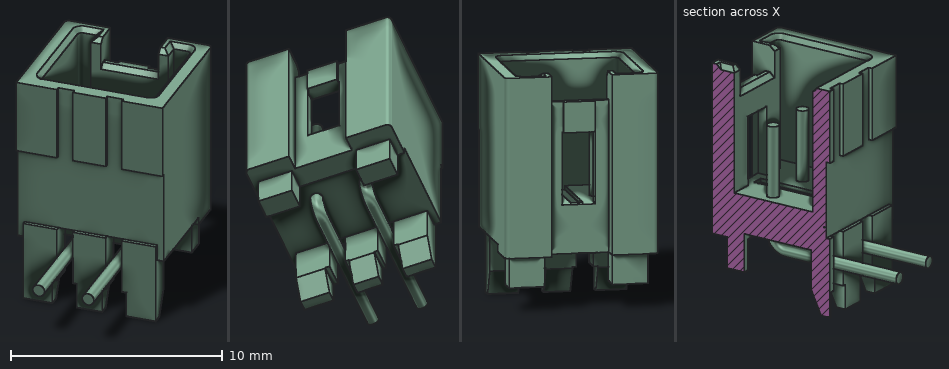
import cadquery as cq
import math

TOP = 11.5
BODY_WIDTH = 7.4
BODY_DEPTH = 6.7
OVERALL_DEPTH = 10.2
BODY_BOTTOM = 3.2
FRONT_STEP = 0.2
REAR_CORNER_RADIUS = 0.23

REAR_LEDGE_BOTTOM = 2.83
REAR_LEDGE_FRONT = 4.86
POST_BOTTOM = 1.25
POST_REAR = 5.86

CENTRE_HALF_WIDTH = 0.83
SIDE_INNER = 1.63
PAD_BOTTOM = 7.84
LEG_OUTER = 3.35
LEG_TOP = 4.0
LEG_THICKNESS = 1.08
LEG_TIP_THICKNESS = 0.52
LEG_TAPER_TOP = 1.21
LEG_NARROW_TOP = 1.26
SIDE_LEG_STEP = 0.23
CENTRE_LEG_STEP = 0.18

CAVITY_WIDTH = 5.68
CAVITY_FRONT = 0.99
CAVITY_REAR = 6.19
CAVITY_FLOOR = 5.18
CAVITY_RADIUS = 0.23
MOUTH_CHAMFER = 0.24
GROOVE_WIDTH = 0.59
GROOVE_DEPTH = 0.2

LATCH_WIDTH = 3.91
LATCH_FRONT = 5.43
LATCH_REAR = 5.93
LATCH_CHAMFER_WIDTH = 0.28
NOTCH_WIDTH = 2.9
LIP_TOP = 10.15
BUMP_WIDTH = 1.51
BUMP_DEPTH = 0.17
WINDOW_WIDTH = 1.6
WINDOW_TOP = 8.67

PIN_PITCH = 2.5
PIN_DIAMETER = 0.6
PIN_TOP = 8.77
PIN_Y = 3.7
PIN_AXIS_Z = 2.54
PIN_BEND_RADIUS = 0.82
PIN_END = BODY_DEPTH - OVERALL_DEPTH


def block(x_min, x_max, y_min, y_max, z_min, z_max):
    """Box given by its limits along each axis."""
    size = (x_max - x_min, y_max - y_min, z_max - z_min)
    return cq.Workplane("XY").box(*size, centered=False).translate((x_min, y_min, z_min))


def centred_block(width, y_min, y_max, z_min, z_max):
    """Box centred on X = 0."""
    return block(-width / 2, width / 2, y_min, y_max, z_min, z_max)


def side_blocks(x_inner, x_outer, y_min, y_max, z_min, z_max):
    """Two boxes mirrored about X = 0."""
    right = block(x_inner, x_outer, y_min, y_max, z_min, z_max)
    return right.union(right.mirror("YZ"))


def make_shell():
    """Solid housing with its front pads and the rear ledge with posts."""
    shell = centred_block(BODY_WIDTH, FRONT_STEP, BODY_DEPTH, REAR_LEDGE_BOTTOM, TOP)
    shell = shell.edges("|Z and >Y").fillet(REAR_CORNER_RADIUS)
    under_cut = centred_block(BODY_WIDTH, 0, REAR_LEDGE_FRONT, REAR_LEDGE_BOTTOM, BODY_BOTTOM)
    centre_pad = centred_block(2 * CENTRE_HALF_WIDTH, 0, FRONT_STEP, PAD_BOTTOM, TOP)
    side_pads = side_blocks(SIDE_INNER, BODY_WIDTH / 2, 0, FRONT_STEP, PAD_BOTTOM, TOP)
    posts = side_blocks(
        SIDE_INNER, LEG_OUTER, REAR_LEDGE_FRONT, POST_REAR, POST_BOTTOM, REAR_LEDGE_BOTTOM
    )
    return shell.cut(under_cut).union(centre_pad).union(side_pads).union(posts)


def make_legs():
    """Tapered front legs, joined above their narrowed tips until the pin gaps are cut."""
    profile = [
        (0, 0),
        (LEG_TIP_THICKNESS, 0),
        (LEG_THICKNESS, LEG_TAPER_TOP),
        (LEG_THICKNESS, LEG_TOP),
        (0, LEG_TOP),
    ]
    legs = cq.Workplane("YZ").polyline(profile).close().extrude(LEG_OUTER, both=True)
    tip_gaps = side_blocks(
        CENTRE_HALF_WIDTH - CENTRE_LEG_STEP, SIDE_INNER + SIDE_LEG_STEP,
        0, LEG_THICKNESS, 0, LEG_NARROW_TOP,
    )
    return legs.cut(tip_gaps)


def rounded_rectangle(width, length, radius):
    """Sketch of a centred rectangle with rounded corners."""
    return cq.Sketch().rect(width, length).vertices().fillet(radius)


def make_cavity():
    """Cavity with a flared mouth."""
    length = CAVITY_REAR - CAVITY_FRONT
    middle = (CAVITY_FRONT + CAVITY_REAR) / 2
    flare = 2 * MOUTH_CHAMFER
    inner = rounded_rectangle(CAVITY_WIDTH, length, CAVITY_RADIUS)
    outer = rounded_rectangle(CAVITY_WIDTH + flare, length + flare, CAVITY_RADIUS + MOUTH_CHAMFER)
    outer = outer.moved(cq.Location(cq.Vector(0, 0, MOUTH_CHAMFER)))
    chamfer_start = TOP - MOUTH_CHAMFER
    pocket = (
        cq.Workplane("XY", origin=(0, middle, CAVITY_FLOOR))
        .placeSketch(inner).extrude(chamfer_start - CAVITY_FLOOR)
    )
    mouth = (
        cq.Workplane("XY", origin=(0, middle, chamfer_start))
        .placeSketch(inner, outer).loft()
    )
    return pocket.union(mouth)


def make_latch_wall():
    """Wall column standing in the rear of the cavity, chamfered round its top."""
    wall = centred_block(LATCH_WIDTH, LATCH_FRONT, BODY_DEPTH, CAVITY_FLOOR, TOP)
    chamfered_edges = wall.faces(">Z").edges("<X or >X or <Y")
    return chamfered_edges.chamfer(MOUTH_CHAMFER, LATCH_CHAMFER_WIDTH)


def make_latch_notch():
    """Opening above the lip and behind the latch wall, leaving the lip chamfered."""
    above_lip = centred_block(NOTCH_WIDTH, LATCH_FRONT, BODY_DEPTH, LIP_TOP, TOP)
    behind_wall = centred_block(NOTCH_WIDTH, LATCH_REAR, BODY_DEPTH, REAR_LEDGE_BOTTOM, TOP)
    lip_chamfer = (
        cq.Workplane("YZ")
        .polyline([
            (LATCH_FRONT, LIP_TOP - MOUTH_CHAMFER),
            (LATCH_FRONT + LATCH_CHAMFER_WIDTH, LIP_TOP),
            (LATCH_FRONT, LIP_TOP),
        ])
        .close().extrude(NOTCH_WIDTH / 2, both=True)
    )
    return above_lip.union(behind_wall).union(lip_chamfer)


def make_pin():
    """Round pin at X = 0 rising into the cavity and bent out to the front."""
    bend_y = PIN_Y - PIN_BEND_RADIUS
    bend_z = PIN_AXIS_Z + PIN_BEND_RADIUS
    bend_middle = PIN_BEND_RADIUS * math.sqrt(0.5)
    path = (
        cq.Workplane("YZ").moveTo(PIN_Y, PIN_TOP)
        .lineTo(PIN_Y, bend_z)
        .threePointArc((bend_y + bend_middle, bend_z - bend_middle), (bend_y, PIN_AXIS_Z))
        .lineTo(PIN_END, PIN_AXIS_Z)
    )
    return cq.Workplane("XY", origin=(0, PIN_Y, PIN_TOP)).circle(PIN_DIAMETER / 2).sweep(path)


pin_gaps = side_blocks(CENTRE_HALF_WIDTH, SIDE_INNER, 0, LEG_THICKNESS, 0, LEG_TOP)
housing = make_shell().union(make_legs()).cut(pin_gaps)

housing = housing.cut(make_cavity().cut(make_latch_wall()))
housing = housing.cut(make_latch_notch())
bump_rear = LATCH_REAR + BUMP_DEPTH
housing = housing.union(centred_block(BUMP_WIDTH, LATCH_REAR, bump_rear, WINDOW_TOP, LIP_TOP))
housing = housing.cut(centred_block(WINDOW_WIDTH, LATCH_FRONT, bump_rear, CAVITY_FLOOR, WINDOW_TOP))
groove_bottom = CAVITY_FLOOR - GROOVE_DEPTH
housing = housing.cut(
    centred_block(GROOVE_WIDTH, CAVITY_FRONT, LATCH_FRONT, groove_bottom, CAVITY_FLOOR)
)

result = housing
for pin_x in (-PIN_PITCH / 2, PIN_PITCH / 2):
    result = result.union(make_pin().translate((pin_x, 0, 0)))